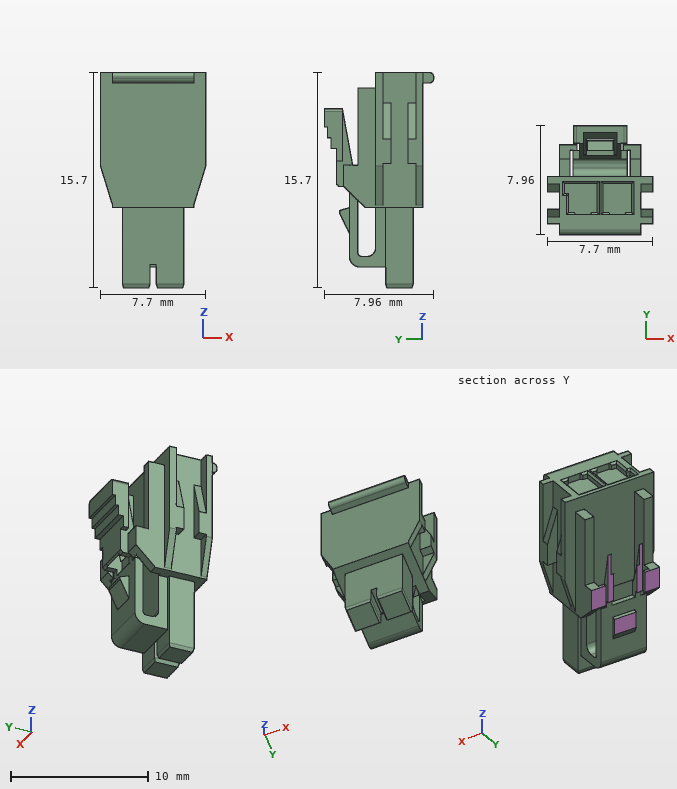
import cadquery as cq
import math


TOP = 15.7
BODY_WIDTH = 5.93
BODY_DEPTH = 3.45
BODY_BOTTOM = 5.85

LEDGE_REACH = 0.8
LEDGE_HEIGHT = 0.78
LEDGE_RADIUS = 0.35

RAIL_SPAN = 7.7
FRONT_RAIL_DEPTH = 0.49
REAR_RAIL_DEPTH = 0.55
RAIL_TAPER_TOP = 8.9
RAIL_BOTTOM = 6.05
WEDGE_DEPTH = 0.6
WEDGE_TOP = 13.49
WEDGE_RAMP_END = 10.83
WEDGE_BOTTOM = 9.06

PLUG_WIDTH = 4.49
PLUG_FRONT = 0.69
PLUG_BACK = 2.72
PLUG_TIP_HEIGHT = 0.3
PLUG_TIP_INSET = 0.1
NOTCH_WIDTH = 0.44
NOTCH_HEIGHT = 1.71

OPENING_FRONT = 0.68
OPENING_BACK = 3.1
OPENING_INNER_X = 0.06
OPENING_OUTER_X = 2.45
OPENING_DEPTH = 0.52
OPENING_BEVEL = 0.15
KEY_WIDTH = 0.3
KEY_FRONT = 2.05
RELIEF_INNER_WIDTH = 1.29
RELIEF_OUTER_WIDTH = 1.04

ARM_GAP = 4.36
ARM_TOP = 14.57
ARM_BACK = 4.73
HOOK_TOP = 8.95
HOOK_BACK = 5.76
HOOK_FRONT = 5.35
HOOK_GAP = 3.36
ARM_SLOPE_TOP = 7.38
ARM_SLOPE_BOTTOM_Y = 4.19

LATCH_WIDTH = 3.97
SPRING_FRONT = ARM_BACK
SPRING_BACK = HOOK_FRONT
SPRING_TOP = 6.91
LOOP_BOTTOM = 1.52
LOOP_FLOOR = 2.31
LOOP_OUTER_RADIUS = 0.78
LOOP_FRONT_RADIUS = 0.6
LOOP_BACK_RADIUS = 0.28

TOOTH_WIDTH = 1.9
TOOTH_TIP_Y = 6.06
TOOTH_TOP = 5.85
TOOTH_TIP_TOP = 5.65
TOOTH_TIP_BOTTOM = 5.43
TOOTH_BOTTOM = 3.99

LEVER_WIDTH = 3.01
LEVER_BACK = 6.3
LEVER_BOTTOM = 7.38
LEVER_CHAMFER = 0.19
GRIP_WIDTH = 3.91
GRIP_FRONT = 5.85
GRIP_BACK = 7.16
GRIP_TOP = 13.06
GRIP_BOTTOM = 9.26
GRIP_RADIUS = 0.22
GRIP_STEPS = ((GRIP_BACK, 11.71), (6.94, 10.93), (6.69, 10.15))

RECESS_WIDTH = 2.43
RECESS_FRONT = 4.96
RECESS_TOP_BACK = 6.64
RECESS_FLOOR_FRONT = 8.2
RECESS_FLOOR_BACK_Y = 5.05
RECESS_FLOOR_BACK = 8.16
SLOT_WIDTH = 2.01
SLOT_BACK = 6.17


def block(x_range, y_range, z_range):
    """Box between the given limits on each axis."""
    (x0, x1), (y0, y1), (z0, z1) = x_range, y_range, z_range
    return cq.Workplane("XY").box(x1 - x0, y1 - y0, z1 - z0, centered=False).translate((x0, y0, z0))


def centred(width):
    """X limits of a feature of this width, centred on X = 0."""
    return (-width / 2, width / 2)


def side_profile(points, width):
    """(Y, Z) outline extruded to a width centred on X = 0."""
    return cq.Workplane("YZ").polyline(points).close().extrude(width / 2, both=True)


def front_profile(points, y_front, depth):
    """(X, Z) outline extruded backwards from Y = y_front."""
    outline = cq.Workplane("XZ", origin=(0, y_front, 0)).polyline(points).close()
    return outline.extrude(-depth)


def make_body():
    return block(centred(BODY_WIDTH), (0, BODY_DEPTH), (BODY_BOTTOM, TOP))


def make_ledge():
    ledge = block(centred(BODY_WIDTH), (-LEDGE_REACH, 0), (TOP - LEDGE_HEIGHT, TOP))
    return ledge.edges("|X and <Y").fillet(LEDGE_RADIUS)


def make_side_rails():
    """Left-hand rails and wedges, with their mirror images on the right."""
    outer = -RAIL_SPAN / 2
    wall = -BODY_WIDTH / 2
    rail = [(wall, TOP), (outer, TOP), (outer, RAIL_TAPER_TOP), (wall, RAIL_BOTTOM)]
    wedge = [(wall, WEDGE_TOP), (outer, WEDGE_RAMP_END), (outer, WEDGE_BOTTOM), (wall, WEDGE_BOTTOM)]
    rear_start = BODY_DEPTH - REAR_RAIL_DEPTH
    left = front_profile(rail, 0, FRONT_RAIL_DEPTH)
    left = left.union(front_profile(rail, rear_start, REAR_RAIL_DEPTH))
    left = left.union(front_profile(wedge, FRONT_RAIL_DEPTH, WEDGE_DEPTH))
    left = left.union(front_profile(wedge, rear_start - WEDGE_DEPTH, WEDGE_DEPTH))
    return left, left.mirror("YZ")


def make_plug():
    """Plug split by a notch into two prongs, each bevelled all round its tip."""
    plug = block(centred(PLUG_WIDTH), (PLUG_FRONT, PLUG_BACK), (PLUG_TIP_HEIGHT, BODY_BOTTOM))
    plug = plug.cut(block(centred(NOTCH_WIDTH), (PLUG_FRONT, PLUG_BACK), (PLUG_TIP_HEIGHT, NOTCH_HEIGHT)))
    prong_width = (PLUG_WIDTH - NOTCH_WIDTH) / 2
    prong_x = (PLUG_WIDTH + NOTCH_WIDTH) / 4
    prong_y = (PLUG_FRONT + PLUG_BACK) / 2
    tip_angle = math.degrees(math.atan(PLUG_TIP_INSET / PLUG_TIP_HEIGHT))
    tips = (
        cq.Workplane("XY", origin=(0, prong_y, PLUG_TIP_HEIGHT))
        .pushPoints([(-prong_x, 0), (prong_x, 0)])
        .rect(prong_width, PLUG_BACK - PLUG_FRONT)
        .extrude(-PLUG_TIP_HEIGHT, taper=tip_angle)
    )
    return plug.union(tips)


def make_opening(outline, centre_x):
    """Bevelled pocket with a relief that cuts through the bevel on its front side."""
    rim = cq.Workplane("XY").workplane(offset=TOP).polyline(outline).close()
    bevel = rim.extrude(-OPENING_BEVEL, taper=45)
    pocket = (
        cq.Workplane("XY").workplane(offset=TOP).polyline(outline).close()
        .offset2D(-OPENING_BEVEL, "intersection").extrude(-OPENING_DEPTH)
    )
    relief_back = OPENING_FRONT + OPENING_BEVEL
    relief = (
        cq.Workplane("XY").workplane(offset=TOP)
        .polyline([
            (centre_x - RELIEF_OUTER_WIDTH / 2, OPENING_FRONT),
            (centre_x + RELIEF_OUTER_WIDTH / 2, OPENING_FRONT),
            (centre_x + RELIEF_INNER_WIDTH / 2, relief_back),
            (centre_x - RELIEF_INNER_WIDTH / 2, relief_back),
        ])
        .close().extrude(-OPENING_DEPTH)
    )
    return bevel.union(pocket).union(relief)


def make_openings():
    """Plain right-hand opening and keyed left-hand opening."""
    centre_x = (OPENING_INNER_X + OPENING_OUTER_X) / 2
    plain = [
        (OPENING_INNER_X, OPENING_FRONT),
        (OPENING_OUTER_X, OPENING_FRONT),
        (OPENING_OUTER_X, OPENING_BACK),
        (OPENING_INNER_X, OPENING_BACK),
    ]
    key_x = -OPENING_OUTER_X - KEY_WIDTH
    keyed = [
        (-OPENING_INNER_X, OPENING_FRONT),
        (-OPENING_INNER_X, OPENING_BACK),
        (key_x, OPENING_BACK),
        (key_x, KEY_FRONT),
        (-OPENING_OUTER_X, KEY_FRONT),
        (-OPENING_OUTER_X, OPENING_FRONT),
    ]
    return make_opening(plain, centre_x), make_opening(keyed, -centre_x)


def make_guard_arms():
    """Arms behind the body, hooked inwards over the latch and sloped underneath."""
    profile = [
        (BODY_DEPTH, BODY_BOTTOM),
        (ARM_SLOPE_BOTTOM_Y, BODY_BOTTOM),
        (HOOK_BACK, ARM_SLOPE_TOP),
        (HOOK_BACK, HOOK_TOP),
        (ARM_BACK, HOOK_TOP),
        (ARM_BACK, ARM_TOP),
        (BODY_DEPTH, ARM_TOP),
    ]
    arms = side_profile(profile, BODY_WIDTH)
    arms = arms.cut(block(centred(ARM_GAP), (BODY_DEPTH, HOOK_FRONT), (BODY_BOTTOM, ARM_TOP)))
    return arms.cut(block(centred(HOOK_GAP), (HOOK_FRONT, HOOK_BACK), (BODY_BOTTOM, HOOK_TOP)))


def make_spring():
    """U-shaped spring: web on the plug, rounded bend and upright strip."""
    across = centred(LATCH_WIDTH)
    spring = block(across, (PLUG_BACK, SPRING_BACK), (LOOP_BOTTOM, SPRING_TOP))
    spring = spring.edges("|X and >Y and <Z").fillet(LOOP_OUTER_RADIUS)
    loop = block(across, (BODY_DEPTH, SPRING_FRONT), (LOOP_FLOOR, SPRING_TOP))
    loop = loop.edges("|X and <Y and <Z").fillet(LOOP_FRONT_RADIUS)
    loop = loop.edges("|X and >Y and <Z").fillet(LOOP_BACK_RADIUS)
    return spring.cut(loop)


def make_tooth():
    profile = [
        (SPRING_FRONT, TOOTH_TOP),
        (SPRING_BACK, TOOTH_TOP),
        (TOOTH_TIP_Y, TOOTH_TIP_TOP),
        (TOOTH_TIP_Y, TOOTH_TIP_BOTTOM),
        (SPRING_BACK, TOOTH_BOTTOM),
        (SPRING_FRONT, TOOTH_BOTTOM),
    ]
    return side_profile(profile, TOOTH_WIDTH)


def make_lever():
    """Narrow lever with a sloping front, topped by a wider stepped grip."""
    lever_profile = [
        (SPRING_FRONT, SPRING_TOP),
        (SPRING_BACK, SPRING_TOP),
        (SPRING_BACK, LEVER_BOTTOM),
        (LEVER_BACK - LEVER_CHAMFER, LEVER_BOTTOM),
        (LEVER_BACK, LEVER_BOTTOM + LEVER_CHAMFER),
        (LEVER_BACK, GRIP_TOP),
        (GRIP_FRONT, GRIP_TOP),
    ]
    grip_profile = [(GRIP_FRONT, GRIP_BOTTOM), (GRIP_FRONT, GRIP_TOP), (GRIP_BACK, GRIP_TOP)]
    step_insets = [step_y for step_y, _ in GRIP_STEPS[1:]] + [LEVER_BACK]
    for (step_y, step_z), inset_y in zip(GRIP_STEPS, step_insets):
        grip_profile += [(step_y, step_z), (inset_y, step_z)]
    grip_profile.append((LEVER_BACK, GRIP_BOTTOM))
    grip = side_profile(grip_profile, GRIP_WIDTH)
    grip = grip.edges("|Y and >Z").fillet(GRIP_RADIUS)
    lever = side_profile(lever_profile, LEVER_WIDTH)
    return lever.union(grip)


def make_lever_openings():
    """Front recess with a leaning back wall, and an upright slot open above and below."""
    recess_profile = [
        (RECESS_FRONT, GRIP_TOP),
        (RECESS_FRONT, RECESS_FLOOR_FRONT),
        (RECESS_FLOOR_BACK_Y, RECESS_FLOOR_BACK),
        (RECESS_TOP_BACK, GRIP_TOP),
    ]
    recess = side_profile(recess_profile, RECESS_WIDTH)
    slot = block(centred(SLOT_WIDTH), (RECESS_FRONT, SLOT_BACK), (SPRING_TOP, GRIP_TOP))
    return recess.union(slot)


result = make_body().union(make_ledge()).union(make_guard_arms())
for rails in make_side_rails():
    result = result.union(rails)
for opening in make_openings():
    result = result.cut(opening)
latch = make_spring().union(make_lever().cut(make_lever_openings())).union(make_tooth())
result = result.union(make_plug()).union(latch)